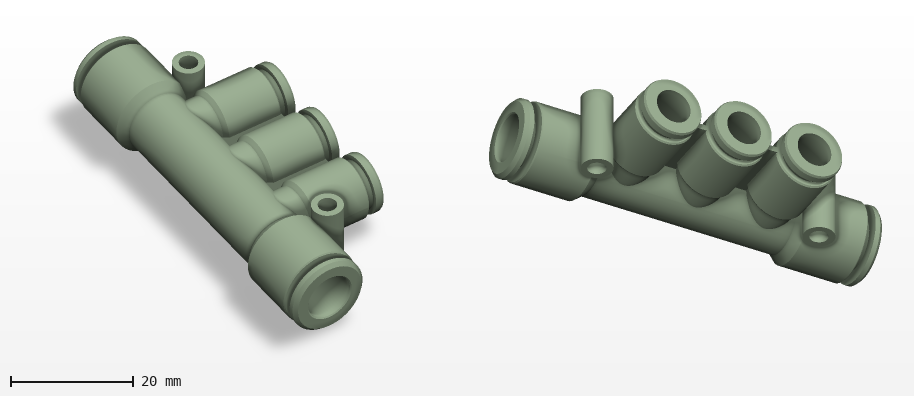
import cadquery as cq

RUN_HALF_LENGTH = 33.0
RUN_RADIUS = 5.65
SOCKET_RADIUS = 7.0
SOCKET_FACE_X = 30.1
SOCKET_CONE_START_X = 19.4
SOCKET_CONE_END_X = 17.75
SOCKET_EDGE_CHAMFER = 0.2

END_COLLAR_RADIUS = 6.85
END_COLLAR_LENGTH = 1.5
END_COLLAR_CHAMFER = 0.65
END_NECK_RADIUS = 4.6

END_TUBE_RADIUS = 4.1
END_BORE_CHAMFER = 0.2
END_SEAT_INNER_X = SOCKET_CONE_END_X
FLOW_RADIUS = 3.2

PORT_COUNT = 3
PORT_PITCH = 13.0
PORT_END_Y = 20.46
PORT_RADIUS = 5.45
PORT_ROOT_RADIUS = 4.8
PORT_FACE_Y = 17.55
PORT_EDGE_CHAMFER = 0.25
PORT_CONE_START_Y = 7.3
PORT_CONE_END_Y = 6.5
PORT_COLLAR_RADIUS = 5.3
PORT_COLLAR_LENGTH = 1.6
PORT_COLLAR_CHAMFER_LENGTH = 0.4
PORT_COLLAR_CHAMFER_DEPTH = 0.2
PORT_NECK_RADIUS = 4.4
PORT_TUBE_RADIUS = 3.1
PORT_FLOW_RADIUS = 2.4
PORT_SEAT_INNER_Y = PORT_CONE_START_Y

WEB_THICKNESS = 1.0

EYELET_X = 20.5
EYELET_Y = 7.85
EYELET_RADIUS = 2.7
EYELET_HOLE_RADIUS = 1.6
EYELET_HEIGHT = 2 * SOCKET_RADIUS


def cylinder_along_x(radius, start_x, end_x):
    """Solid cylinder on the main axis."""
    return cq.Workplane("YZ").workplane(offset=start_x).circle(radius).extrude(end_x - start_x)


def run_body():
    """Turned outside of the run, from a half profile mirrored about X = 0."""
    collar_inner_x = RUN_HALF_LENGTH - END_COLLAR_LENGTH
    half = (
        cq.Workplane("XY")
        .moveTo(0, 0)
        .lineTo(0, RUN_RADIUS)
        .lineTo(SOCKET_CONE_END_X, RUN_RADIUS)
        .lineTo(SOCKET_CONE_START_X, SOCKET_RADIUS)
        .lineTo(SOCKET_FACE_X - SOCKET_EDGE_CHAMFER, SOCKET_RADIUS)
        .lineTo(SOCKET_FACE_X, SOCKET_RADIUS - SOCKET_EDGE_CHAMFER)
        .lineTo(SOCKET_FACE_X, END_NECK_RADIUS)
        .lineTo(collar_inner_x, END_NECK_RADIUS)
        .lineTo(collar_inner_x, END_COLLAR_RADIUS)
        .lineTo(RUN_HALF_LENGTH - END_COLLAR_CHAMFER, END_COLLAR_RADIUS)
        .lineTo(RUN_HALF_LENGTH, END_COLLAR_RADIUS - END_COLLAR_CHAMFER)
        .lineTo(RUN_HALF_LENGTH, 0)
        .close()
        .revolve(360, (0, 0, 0), (1, 0, 0))
    )
    return half.union(half.mirror("YZ"))


def run_bore():
    """Flow passage with a chamfered tube seat at both ends."""
    seat = (
        cq.Workplane("XY")
        .moveTo(END_SEAT_INNER_X, 0)
        .lineTo(END_SEAT_INNER_X, END_TUBE_RADIUS)
        .lineTo(RUN_HALF_LENGTH - END_BORE_CHAMFER, END_TUBE_RADIUS)
        .lineTo(RUN_HALF_LENGTH, END_TUBE_RADIUS + END_BORE_CHAMFER)
        .lineTo(RUN_HALF_LENGTH, 0)
        .close()
        .revolve(360, (0, 0, 0), (1, 0, 0))
    )
    passage = cylinder_along_x(FLOW_RADIUS, -RUN_HALF_LENGTH, RUN_HALF_LENGTH)
    return passage.union(seat).union(seat.mirror("YZ"))


def port_body(x):
    """Turned outside of one branch port, starting on the main axis."""
    collar_inner_y = PORT_END_Y - PORT_COLLAR_LENGTH
    return (
        cq.Workplane("XY")
        .moveTo(0, 0)
        .lineTo(PORT_ROOT_RADIUS, 0)
        .lineTo(PORT_ROOT_RADIUS, PORT_CONE_END_Y)
        .lineTo(PORT_RADIUS, PORT_CONE_START_Y)
        .lineTo(PORT_RADIUS, PORT_FACE_Y - PORT_EDGE_CHAMFER)
        .lineTo(PORT_RADIUS - PORT_EDGE_CHAMFER, PORT_FACE_Y)
        .lineTo(PORT_NECK_RADIUS, PORT_FACE_Y)
        .lineTo(PORT_NECK_RADIUS, collar_inner_y)
        .lineTo(PORT_COLLAR_RADIUS, collar_inner_y)
        .lineTo(PORT_COLLAR_RADIUS, PORT_END_Y - PORT_COLLAR_CHAMFER_LENGTH)
        .lineTo(PORT_COLLAR_RADIUS - PORT_COLLAR_CHAMFER_DEPTH, PORT_END_Y)
        .lineTo(0, PORT_END_Y)
        .close()
        .revolve(360, (0, 0, 0), (0, 1, 0))
        .translate((x, 0, 0))
    )


def port_bore(x):
    """Tube seat of one port, narrowing to a passage that opens into the run."""
    return (
        cq.Workplane("XY")
        .moveTo(0, 0)
        .lineTo(PORT_FLOW_RADIUS, 0)
        .lineTo(PORT_FLOW_RADIUS, PORT_SEAT_INNER_Y)
        .lineTo(PORT_TUBE_RADIUS, PORT_SEAT_INNER_Y)
        .lineTo(PORT_TUBE_RADIUS, PORT_END_Y)
        .lineTo(0, PORT_END_Y)
        .close()
        .revolve(360, (0, 0, 0), (0, 1, 0))
        .translate((x, 0, 0))
    )


def port_web():
    """Flat web on the mid-plane from the run axis up to the port faces."""
    return cq.Workplane("XY").box(
        (PORT_COUNT - 1) * PORT_PITCH, PORT_FACE_Y, WEB_THICKNESS, centered=(True, False, True)
    )


def eyelet_cylinder(x, radius):
    """Upright cylinder on an eyelet axis, over the full height of the part."""
    return cq.Workplane("XY").center(x, EYELET_Y).circle(radius).extrude(EYELET_HEIGHT / 2, both=True)


port_positions = [(i - (PORT_COUNT - 1) / 2) * PORT_PITCH for i in range(PORT_COUNT)]
eyelet_positions = [-EYELET_X, EYELET_X]

result = run_body().union(port_web())
for port_x in port_positions:
    result = result.union(port_body(port_x))
for eyelet_x in eyelet_positions:
    result = result.union(eyelet_cylinder(eyelet_x, EYELET_RADIUS))

result = result.cut(run_bore())
for port_x in port_positions:
    result = result.cut(port_bore(port_x))
for eyelet_x in eyelet_positions:
    result = result.cut(eyelet_cylinder(eyelet_x, EYELET_HOLE_RADIUS))